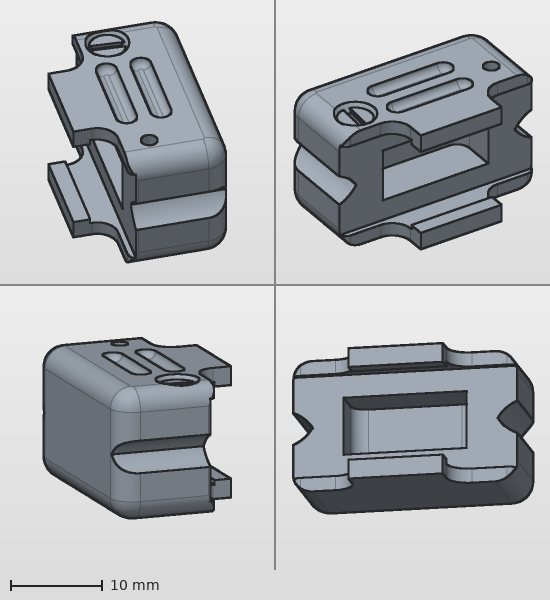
import cadquery as cq
import math

width = 25.02
depth = 15.9
height = 14.74
body_depth = 10.75
flange_depth = 11.45
flange_thickness = 1.6

back_corner_radius = 2.55
edge_radius = 2.35
front_corner_radius = 1.0

tongue_width = 10.5
tongue_root_radius = 2.35
lip_length = 1.9
lip_thickness = 2.13

pocket_width = 13.69
pocket_height = 6.43
pocket_depth = 5.38
pocket_corner_radius = 1.65

groove_depth = 2.2
groove_width = 3.65
groove_flank_radius = 4.5

slot_length = 10.75
slot_width = 2.3
slot_depth = 0.88
slot_positions = (-5.73, -9.6)

screw_spacing = 17.66
screw_y = -8.28
hole_diameter = 1.8
hole_depth = height / 2
head_radius = 2.4
head_depth = 0.5
head_floor_radius = 2.0
driver_slot_width = 0.78
driver_slot_depth = 0.45
driver_slot_angle = -3.8

half_width = width / 2
top_z = height / 2


def rounded_block():
    """Full-depth block with rounded back corners and rounded top and bottom edges."""
    block = cq.Workplane("XY").box(width, depth, height)
    block = block.translate((0, -depth / 2, 0))
    block = block.edges("|Z and >Y").fillet(back_corner_radius)
    return block.faces(">Z or <Z").edges("not <Y").fillet(edge_radius)


def plan_outline():
    """Prism of the top outline: wide body, concave shoulders and narrow tongue."""
    half_tongue = tongue_width / 2
    shoulder_x = half_tongue + tongue_root_radius
    arc_y = -flange_depth - tongue_root_radius
    arc_reach = tongue_root_radius * math.sqrt(0.5)
    right_arc_middle = (shoulder_x - arc_reach, arc_y + arc_reach)
    left_arc_middle = (-right_arc_middle[0], right_arc_middle[1])
    outline = (
        cq.Workplane("XY", origin=(0, 0, -top_z))
        .moveTo(-half_width, 0)
        .lineTo(half_width, 0)
        .lineTo(half_width, -flange_depth)
        .lineTo(shoulder_x, -flange_depth)
        .threePointArc(right_arc_middle, (half_tongue, arc_y))
        .lineTo(half_tongue, -depth)
        .lineTo(-half_tongue, -depth)
        .lineTo(-half_tongue, arc_y)
        .threePointArc(left_arc_middle, (-shoulder_x, -flange_depth))
        .lineTo(-half_width, -flange_depth)
        .close()
        .extrude(height)
    )
    front_corners = outline.edges("|Z").edges("<X or >X").edges("<Y")
    return front_corners.fillet(front_corner_radius)


def front_gap():
    """Space between the flanges, narrower between the lips."""
    gap_z = top_z - flange_thickness
    lip_z = top_z - lip_thickness
    lip_back_y = -depth + lip_length
    return (
        cq.Workplane("YZ")
        .polyline([
            (-body_depth, -gap_z), (lip_back_y, -gap_z), (lip_back_y, -lip_z), (-depth, -lip_z),
            (-depth, lip_z), (lip_back_y, lip_z), (lip_back_y, gap_z), (-body_depth, gap_z),
        ])
        .close()
        .extrude(half_width, both=True)
    )


def front_pocket():
    """Blind rectangular pocket with rounded vertical corners at its floor."""
    pocket = cq.Workplane("XY").box(pocket_width, pocket_depth, pocket_height)
    pocket = pocket.edges("|Z and >Y").fillet(pocket_corner_radius)
    return pocket.translate((0, -body_depth + pocket_depth / 2, 0))


def side_groove():
    """Pointed groove with two arched flanks along the -X side."""
    half_groove = groove_width / 2
    chord = math.hypot(groove_depth, half_groove)
    bulge = groove_flank_radius - math.sqrt(groove_flank_radius**2 - (chord / 2) ** 2)
    tip_x = -half_width + groove_depth
    middle_x = -half_width + groove_depth / 2 + bulge * half_groove / chord
    middle_z = half_groove / 2 + bulge * groove_depth / chord
    return (
        cq.Workplane("XZ")
        .moveTo(-half_width, half_groove)
        .threePointArc((middle_x, middle_z), (tip_x, 0))
        .threePointArc((middle_x, -middle_z), (-half_width, -half_groove))
        .close()
        .extrude(depth)
    )


def top_slot(y):
    """Round-ended slot whose floor edge is rounded over the full slot depth."""
    slot = cq.Workplane("XY", origin=(0, y, top_z - slot_depth)).slot2D(slot_length, slot_width)
    return slot.extrude(2 * slot_depth).faces("<Z").edges().fillet(slot_depth)


def screw_recess():
    """Countersunk recess with a driver slot in its floor, both bounded by one cone."""
    total_depth = head_depth + driver_slot_depth
    taper = (head_radius - head_floor_radius) / head_depth
    tip_radius = head_radius - taper * total_depth
    cone = cq.Workplane("XY").add(
        cq.Solid.makeCone(tip_radius, head_radius, total_depth, pnt=cq.Vector(0, 0, -total_depth))
    )
    head_space = cq.Workplane("XY").circle(head_radius).extrude(-head_depth)
    driver_slot = (
        cq.Workplane("XY")
        .rect(driver_slot_width, 2 * head_radius)
        .extrude(-total_depth)
        .rotate((0, 0, 0), (0, 0, 1), driver_slot_angle)
    )
    recess = cone.intersect(head_space.union(driver_slot))
    return recess.translate((-screw_spacing / 2, screw_y, top_z))


def plain_hole():
    """Flat-bottomed blind hole in the top face."""
    hole = cq.Workplane("XY", origin=(screw_spacing / 2, screw_y, top_z))
    return hole.circle(hole_diameter / 2).extrude(-hole_depth)


groove = side_groove()

result = rounded_block().intersect(plan_outline())
result = result.cut(front_gap()).cut(front_pocket())
result = result.cut(groove).cut(groove.mirror("YZ"))
for slot_y in slot_positions:
    result = result.cut(top_slot(slot_y))
result = result.cut(screw_recess()).cut(plain_hole())